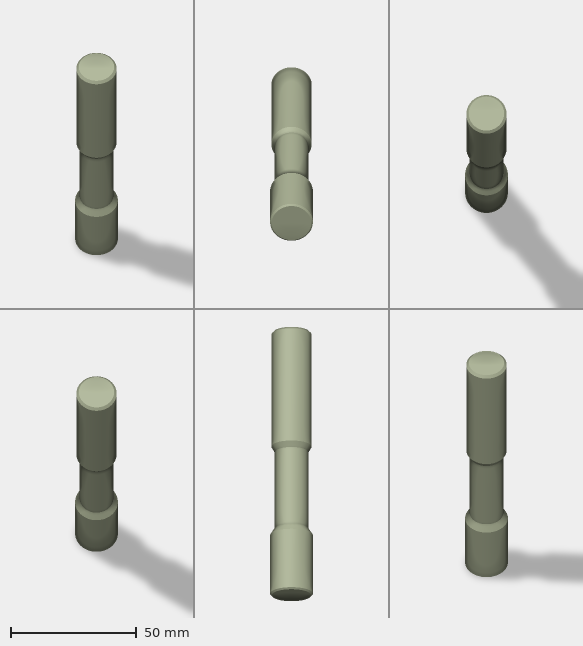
import cadquery as cq

length = 110.0

foot_radius = 17.0 / 2
neck_radius = 13.4 / 2
head_radius = 16.1 / 2

foot_top = 25.1
neck_bottom = 27.9
neck_top = 59.8
head_bottom = 62.2

foot_chamfer = 0.7
head_chamfer = 1.0

half_profile = [
    (0, 0),
    (foot_radius - foot_chamfer, 0),
    (foot_radius, foot_chamfer),
    (foot_radius, foot_top),
    (neck_radius, neck_bottom),
    (neck_radius, neck_top),
    (head_radius, head_bottom),
    (head_radius, length - head_chamfer),
    (head_radius - head_chamfer, length),
    (0, length),
]

result = cq.Workplane("XZ").polyline(half_profile).close().revolve(360, (0, 0, 0), (0, 1, 0))